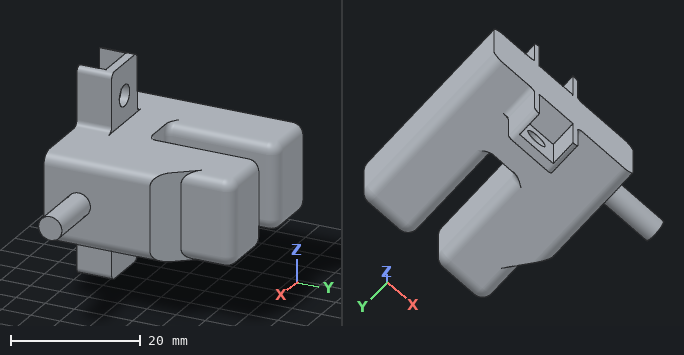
import cadquery as cq

total_length = 39.0
body_width = 29.0
body_height = 15.0
body_depth = 31.0
edge_radius = 2.0

gap_left = 10.5
gap_width = 5.0
gap_right = gap_left + gap_width
gap_center = gap_left + gap_width / 2
gap_floor = 12.0
gap_floor_radius = 1.0

right_prong_end = 26.0
shoulder_start = 18.25
shoulder_end = 24.65

ear_width = 9.0
ear_depth = 6.0
ear_span = 35.0
ear_wall = 1.0
ear_web = 1.5
ear_radius = 1.0
hole_diameter = 3.6
hole_offset = 12.0

cable_diameter = 4.0
cable_depth = 6.0

half_height = body_height / 2


def box_between(left, right, front, back, bottom, top):
    """Box given by its limits along X, Y and Z."""
    size = (right - left, back - front, top - bottom)
    return cq.Workplane("XY").box(*size, centered=False).translate((left, front, bottom))


def make_prong(left, right):
    """Prong with rounded long edges and a rounded tip."""
    prong = box_between(left, right, gap_floor, body_depth, -half_height, half_height)
    return prong.edges("|Y").fillet(edge_radius).faces(">Y").edges().fillet(edge_radius)


def make_gap_cutter():
    """Space between the prongs, flared around their long edges, with a rounded floor."""
    clear_height = half_height + edge_radius
    straight_height = half_height - edge_radius
    diagonal = edge_radius * 0.5 ** 0.5
    flare_left = gap_left - edge_radius
    flare_right = gap_right + edge_radius
    outline = (
        cq.Workplane("XZ", origin=(0, body_depth, 0))
        .moveTo(gap_left, -straight_height)
        .lineTo(gap_left, straight_height)
        .threePointArc((flare_left + diagonal, straight_height + diagonal), (flare_left, half_height))
        .lineTo(flare_left, clear_height)
        .lineTo(flare_right, clear_height)
        .lineTo(flare_right, half_height)
        .threePointArc((flare_right - diagonal, straight_height + diagonal), (gap_right, straight_height))
        .lineTo(gap_right, -straight_height)
        .threePointArc((flare_right - diagonal, -straight_height - diagonal), (flare_right, -half_height))
        .lineTo(flare_right, -clear_height)
        .lineTo(flare_left, -clear_height)
        .lineTo(flare_left, -half_height)
        .threePointArc((flare_left + diagonal, -straight_height - diagonal), (gap_left, -straight_height))
        .close()
    )
    cutter = outline.extrude(body_depth - gap_floor)
    return cutter.faces("<Y").edges().fillet(gap_floor_radius)


def make_base():
    """Rounded block behind the prongs, with the sloped shoulder on its right side."""
    block = box_between(0, body_width, 0, shoulder_end, -half_height, half_height)
    block = block.edges("|Y").fillet(edge_radius)
    shoulder_inner = right_prong_end - edge_radius
    plan = (
        cq.Workplane("XY", origin=(0, 0, -half_height))
        .polyline([
            (0, 0),
            (body_width, 0),
            (body_width, shoulder_start),
            (shoulder_inner, shoulder_end),
            (0, shoulder_end),
        ])
        .close()
        .extrude(body_height)
    )
    return block.intersect(plan).cut(make_gap_cutter())


def make_foot_fillet(side):
    """Concave fillet where an ear wall meets the top of the body; side is -1 or 1."""
    wall_x = gap_center + side * ear_width / 2
    foot_x = wall_x + side * ear_radius
    arc_offset = ear_radius * (1 - 0.5 ** 0.5)
    return (
        cq.Workplane("XZ")
        .moveTo(wall_x, half_height)
        .lineTo(foot_x, half_height)
        .threePointArc(
            (wall_x + side * arc_offset, half_height + arc_offset),
            (wall_x, half_height + ear_radius),
        )
        .close()
        .extrude(-ear_depth)
    )


def make_upper_ear():
    """U-shaped ear: two side walls joined by a web with a screw hole."""
    left = gap_center - ear_width / 2
    right = gap_center + ear_width / 2
    top = ear_span / 2
    ear = box_between(left, right, 0, ear_depth, 0, top)
    ear = ear.edges("|Y and >Z").fillet(ear_radius)
    pocket = box_between(left + ear_wall, right - ear_wall, 0, ear_depth - ear_web, half_height, top)
    hole = (
        cq.Workplane("XZ")
        .center(gap_center, hole_offset)
        .circle(hole_diameter / 2)
        .extrude(-ear_depth)
    )
    ear = ear.cut(pocket).cut(hole)
    for side in (-1, 1):
        ear = ear.union(make_foot_fillet(side))
    return ear


def make_cable():
    """Cable stub leaving the right side of the body."""
    cable_start = body_width - edge_radius
    return (
        cq.Workplane("YZ", origin=(cable_start, cable_depth, 0))
        .circle(cable_diameter / 2)
        .extrude(total_length - cable_start)
    )


upper_ear = make_upper_ear()
result = (
    make_base()
    .union(make_prong(0, gap_left))
    .union(make_prong(gap_right, right_prong_end))
    .union(upper_ear)
    .union(upper_ear.mirror("XY"))
    .union(make_cable())
)